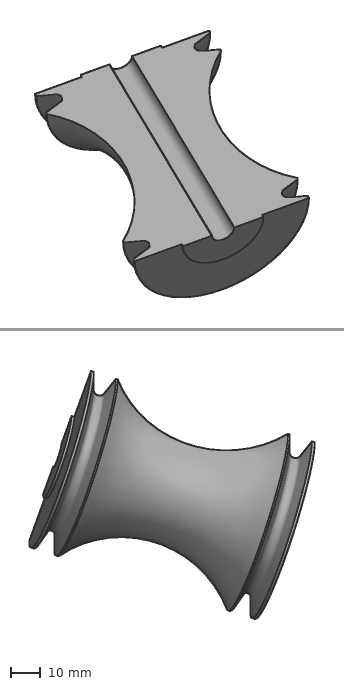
import cadquery as cq
import math

length = 82.0
rim_diameter = 65.0
hub_radius = 15.0
hub_height = 1.0
bore_radius = 4.2

throat_radius = 18.0
throat_half_width = 30.4

groove_center = 35.0
groove_bottom_radius = 24.9
groove_round = 2.0
groove_half_width = 3.9

full_turn = 360
half_length = length / 2
rim_radius = rim_diameter / 2
flange_face = half_length - hub_height


def lower_half_block():
    """Block that keeps only the material below Z = 0."""
    block = cq.Workplane("XY").box(length, rim_diameter, rim_radius, centered=(True, True, False))
    return block.translate((0, 0, -rim_radius))


def body():
    """Stepped cylinder with a short hub at each end."""
    rim = cq.Workplane("YZ").circle(rim_radius).extrude(flange_face, both=True)
    hub = cq.Workplane("YZ").circle(hub_radius).extrude(half_length, both=True)
    return rim.union(hub)


def revolve_about_x(profile):
    """Close a profile in the XY plane and turn it a full circle about the roller axis."""
    return profile.close().revolve(full_turn, (0, 0, 0), (1, 0, 0))


def throat():
    """Ring of material removed to form the concave waist."""
    profile = (
        cq.Workplane("XY")
        .moveTo(-throat_half_width, rim_radius)
        .threePointArc((0, throat_radius), (throat_half_width, rim_radius))
    )
    return revolve_about_x(profile)


def groove(center):
    """V-groove whose straight flanks are tangent to the round bottom."""
    round_center = groove_bottom_radius + groove_round
    rise = rim_radius - round_center
    corner_distance = math.hypot(groove_half_width, rise)
    angle = math.atan2(rise, groove_half_width) - math.acos(groove_round / corner_distance)
    touch_offset = groove_round * math.cos(angle)
    touch_radius = round_center + groove_round * math.sin(angle)
    profile = (
        cq.Workplane("XY")
        .moveTo(center - groove_half_width, rim_radius)
        .lineTo(center - touch_offset, touch_radius)
        .threePointArc((center, groove_bottom_radius), (center + touch_offset, touch_radius))
        .lineTo(center + groove_half_width, rim_radius)
    )
    return revolve_about_x(profile)


result = body().cut(throat())
for side in (-1, 1):
    result = result.cut(groove(side * groove_center))

bore = cq.Workplane("YZ").circle(bore_radius).extrude(half_length, both=True)
result = result.cut(bore).intersect(lower_half_block())